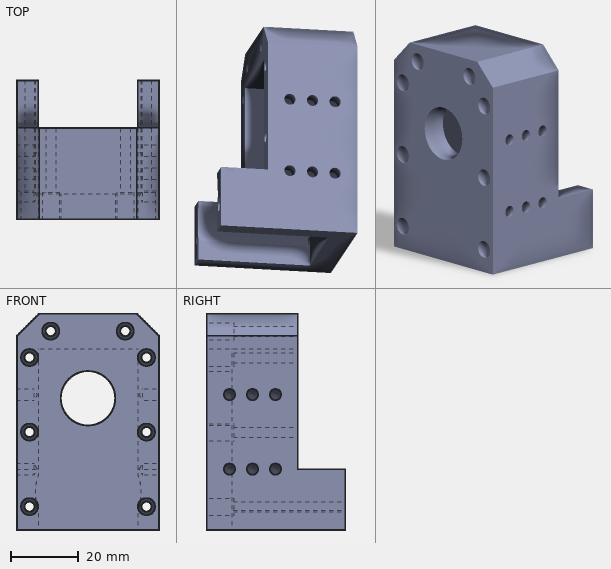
import cadquery as cq
import math

width = 42.0
height = 64.0
depth = 41.0
block_depth = 27.0
arm_height = 18.05
corner_chamfer = 6.6

front_wall = 7.5
arm_thickness = 6.35
bore_diameter = 16.0
bore_height = 39.0
cavity_half_width = width / 2 - arm_thickness
cavity_top = bore_height + cavity_half_width
cavity_length = depth - front_wall

relief_radius = 15.6
relief_height = 11.25

screw_diameter = 2.95
head_diameter = 5.05
head_depth = 8.0
screw_pitch = 22.0
side_screw_x = 17.3
lowest_screw_z = 7.0
side_screws_per_column = 3
top_screw_z = 58.8

drill_diameter = 3.3
drill_depth = 5.0
drill_point_angle = 118.0
drill_pitch = 6.8
first_drill_y = 6.8
drills_per_row = 3
drill_rows_z = (arm_height, arm_height + screw_pitch)


def body():
    """Tall block with a low foot at the rear and chamfered top corners."""
    profile = [
        (0, 0),
        (depth, 0),
        (depth, arm_height),
        (block_depth, arm_height),
        (block_depth, height),
        (0, height),
    ]
    block = cq.Workplane("YZ").polyline(profile).close().extrude(width / 2, both=True)
    return block.faces(">Z").edges("|Y").chamfer(corner_chamfer)


def rod(diameter, length, x, z, start_y=0):
    """Cylinder running toward +Y from start_y."""
    return cq.Workplane("XZ", origin=(x, start_y, z)).circle(diameter / 2).extrude(-length)


def cavity():
    """Rectangular cavity open at the rear and the bottom, with its round relief."""
    box = cq.Workplane("XY", origin=(0, front_wall, 0)).box(
        2 * cavity_half_width, cavity_length, cavity_top, centered=(True, False, False)
    )
    return box.union(rod(2 * relief_radius, cavity_length, 0, relief_height, front_wall))


def screw_positions():
    """(x, z) of a column of screws along each side and a pair near the top."""
    positions = []
    for side in (-1, 1):
        for row in range(side_screws_per_column):
            positions.append((side * side_screw_x, lowest_screw_z + row * screw_pitch))
        positions.append((side * screw_pitch / 2, top_screw_z))
    return positions


def left_drill(y, z):
    """Round hole with a conical point, drilled toward +X from the -X face."""
    radius = drill_diameter / 2
    point_length = radius / math.tan(math.radians(drill_point_angle / 2))
    half_section = [
        (0, 0),
        (drill_depth + point_length, 0),
        (drill_depth, radius),
        (0, radius),
    ]
    section = cq.Workplane("XY", origin=(-width / 2, y, z)).polyline(half_section).close()
    return section.revolve(360, (0, 0, 0), (1, 0, 0))


result = body().cut(cavity()).cut(rod(bore_diameter, depth, 0, bore_height))

for x, z in screw_positions():
    result = result.cut(rod(screw_diameter, depth, x, z))
    result = result.cut(rod(head_diameter, head_depth, x, z))

for z in drill_rows_z:
    for index in range(drills_per_row):
        drill = left_drill(first_drill_y + index * drill_pitch, z)
        result = result.cut(drill).cut(drill.mirror("YZ"))